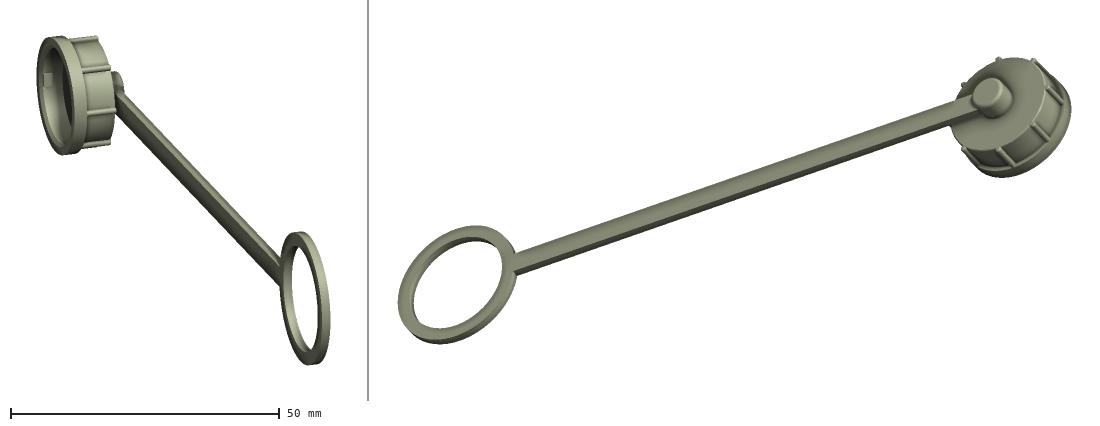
import cadquery as cq
import math


cap_radius = 11.1
cap_length = 8.3
flange_length = 2.5
barrel_radius = 10.3
back_edge_fillet = 0.3
rib_count = 8
rib_width = 1.1
mouth_radius = 9.5
mouth_chamfer = 0.5
bore_radius = mouth_radius - mouth_chamfer
bore_depth = 4.5
lug_count = 2
lug_width = 2.5
lug_height = 0.7
lug_length = 1.7
lug_setback = mouth_chamfer

strap_thickness = 1.7
strap_width = 4.0
strap_gap = 1.0
strap_front = cap_length + strap_gap
strap_back = strap_front + strap_thickness
ring_outer_radius = 12.5
ring_inner_radius = 10.0
ring_center_x = 115.0

rivet_radius = 3.3
rivet_neck_radius = 2.0
rivet_head_thickness = 1.7
rivet_head_fillet = 0.7
rivet_back = strap_back + rivet_head_thickness


def disc(radius, y_front, y_back, x=0):
    """A cylinder along Y between two Y positions."""
    return cq.Workplane("XZ", origin=(x, y_front, 0)).circle(radius).extrude(y_front - y_back)


def block(x_min, x_max, y_min, y_max, width):
    """A box centred on Z = 0."""
    return cq.Workplane("XY").box(x_max - x_min, y_max - y_min, width, centered=(False, False, True)).translate(
        (x_min, y_min, 0)
    )


def around_axis(shape, index, count):
    """The shape turned about the cap axis to place number `index` out of `count`."""
    return shape.rotate((0, 0, 0), (0, 1, 0), index * 360 / count)


def rib_point(position, x, z):
    """The point (x, z) of the rib on the +X side, moved on by `position` rib spacings."""
    angle = position * 2 * math.pi / rib_count
    return (x * math.cos(angle) - z * math.sin(angle), x * math.sin(angle) + z * math.cos(angle))


def make_barrel():
    """The gripped part of the cap: a cylinder with round-tipped ribs and a rounded back edge."""
    half_width = rib_width / 2
    tip_center = cap_radius - half_width
    root = math.sqrt(barrel_radius**2 - half_width**2)

    outline = cq.Workplane("XZ", origin=(0, flange_length, 0)).moveTo(*rib_point(0, root, -half_width))
    for index in range(rib_count):
        outline = outline.lineTo(*rib_point(index, tip_center, -half_width))
        outline = outline.threePointArc(
            rib_point(index, cap_radius, 0), rib_point(index, tip_center, half_width)
        )
        outline = outline.lineTo(*rib_point(index, root, half_width))
        outline = outline.threePointArc(
            rib_point(index + 0.5, barrel_radius, 0), rib_point(index + 1, root, -half_width)
        )
    barrel = outline.close().extrude(flange_length - cap_length)
    return barrel.faces(">Y").edges().fillet(back_edge_fillet)


def make_cap():
    cap = disc(cap_radius, 0, flange_length).union(make_barrel())

    bore = disc(bore_radius, 0, bore_depth)
    mouth = cq.Solid.makeCone(mouth_radius, bore_radius, mouth_chamfer, cq.Vector(0, 0, 0), cq.Vector(0, 1, 0))
    cap = cap.cut(bore).cut(cq.Workplane(mouth))

    lug = block(bore_radius - lug_height, mouth_radius, lug_setback, lug_setback + lug_length, lug_width)
    for index in range(lug_count):
        cap = cap.union(around_axis(lug, index, lug_count))
    return cap


def make_strap():
    eye = disc(rivet_radius, strap_front, strap_back)
    band = block(0, ring_center_x, strap_front, strap_back, strap_width)
    ring = disc(ring_outer_radius, strap_front, strap_back, ring_center_x)
    strap = eye.union(band).union(ring)
    strap = strap.cut(disc(ring_inner_radius, strap_front, strap_back, ring_center_x))
    return strap.cut(disc(rivet_neck_radius, strap_front, strap_back))


def make_rivet():
    collar = disc(rivet_radius, cap_length, strap_front)
    neck = disc(rivet_neck_radius, cap_length, rivet_back)
    head = disc(rivet_radius, strap_back, rivet_back).faces(">Y").edges().fillet(rivet_head_fillet)
    return collar.union(neck).union(head)


cap = make_cap()
strap = make_strap()
rivet = make_rivet()

result = cq.Compound.makeCompound([cap.val(), strap.val(), rivet.val()])